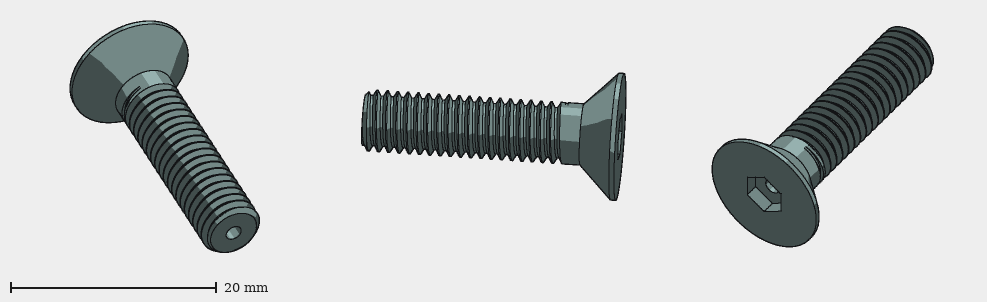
import cadquery as cq
import math

length = 25.0
head_diameter = 12.4
head_rim = 0.5
shank_diameter = 6.0

socket_across_flats = 4.0
socket_depth = 1.4
bore_diameter = 1.6

pitch = 1.0
flank_angle = 30.0
root_half_width = pitch / 8
thread_depth = 5 / 8 * pitch / (2 * math.tan(math.radians(flank_angle)))
groove_clearance = 0.05
run_in_start = 5.25
run_in_turns = 0.5
run_in_clearance = 0.08

head_radius = head_diameter / 2
shank_radius = shank_diameter / 2
root_radius = shank_radius - thread_depth
cone_end = head_rim + head_radius - shank_radius


def make_blank():
    """Head, plain shank and a 45 degree tip chamfer as deep as the thread."""
    return (
        cq.Workplane("XY")
        .lineTo(0, head_radius)
        .lineTo(head_rim, head_radius)
        .lineTo(cone_end, shank_radius)
        .lineTo(length - thread_depth, shank_radius)
        .lineTo(length, root_radius)
        .lineTo(length, 0)
        .close()
        .revolve(360, (0, 0, 0), (1, 0, 0))
    )


def make_groove(start_x, start_direction, start_radius, end_radius, turns):
    """Helical groove cutter whose root radius changes steadily along its path."""
    rise = turns * pitch
    taper = math.atan2(end_radius - start_radius, rise)
    mouth_height = thread_depth + groove_clearance
    mouth_half_width = root_half_width + mouth_height * math.tan(math.radians(flank_angle))
    corners = [
        (0, -root_half_width),
        (0, root_half_width),
        (mouth_height, mouth_half_width),
        (mouth_height, -mouth_half_width),
    ]

    slant = 1 / math.cos(taper)
    helix_angle = math.degrees(taper) if taper else 360.0
    edges = []
    for height, offset in corners:
        helix = cq.Wire.makeHelix(
            pitch * slant,
            rise * slant,
            start_radius + height,
            center=cq.Vector(0, 0, offset),
            angle=helix_angle,
        )
        edges.append(helix.Edges()[0])

    faces = []
    for index, edge in enumerate(edges):
        faces.append(cq.Face.makeRuledSurface(edge, edges[(index + 1) % len(edges)]))
    for end in (0, 1):
        cap = cq.Wire.makePolygon([edge.positionAt(end) for edge in edges], close=True)
        faces.append(cq.Face.makeFromWires(cap))
    groove = cq.Solid.makeSolid(cq.Shell.makeShell(faces))
    placement = cq.Plane(origin=(start_x, 0, 0), xDir=start_direction, normal=(1, 0, 0))
    return groove.moved(cq.Location(placement))


def cut_thread(body):
    """Sink the groove from the shank surface, then carry it out past the tip."""
    full_depth_start = run_in_start + run_in_turns * pitch
    full_turns = math.ceil((length - full_depth_start) / pitch) + 1
    run_in_radius = shank_radius + run_in_clearance
    run_in = make_groove(run_in_start, (0, 0, 1), run_in_radius, root_radius, run_in_turns)
    body = body.cut(cq.Workplane(run_in))
    full_turn = make_groove(full_depth_start, (0, 0, -1), root_radius, root_radius, 1)
    for turn in range(full_turns):
        body = body.cut(cq.Workplane(full_turn.moved(cq.Location(cq.Vector(turn * pitch, 0, 0)))))
    return body


def cut_drive(body):
    """Hexagon socket with corners up and down, and a bore along the whole axis."""
    corner_diameter = socket_across_flats / math.cos(math.radians(30))
    socket = (
        cq.Workplane("YZ")
        .transformed(rotate=(0, 0, 90))
        .polygon(6, corner_diameter)
        .extrude(socket_depth)
    )
    bore = cq.Workplane("YZ").circle(bore_diameter / 2).extrude(length)
    return body.cut(socket).cut(bore)


result = cut_drive(cut_thread(make_blank()))